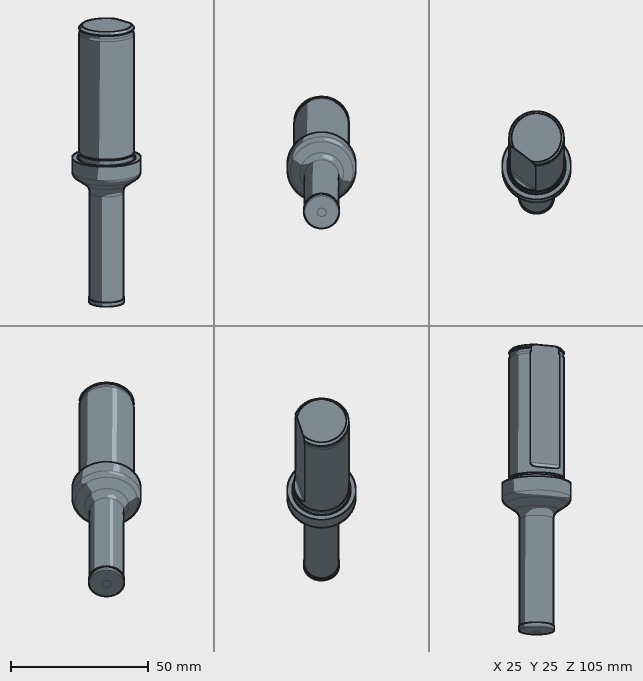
import cadquery as cq
import math


shank_length = 50.0
shank_radius = 10.0
neck_radius = 9.75
end_chamfer = 1.0

end_land_depth = 1.2
end_groove_start = 1.45
end_groove_ramp_start = 2.4
end_groove_depth = 3.3

foot_relief_height = 2.1
foot_relief_taper = 0.6
face_relief_radius = 10.7
face_relief_depth = 0.2
foot_fillet = 0.5

flat_offset = 8.1
flat_runout_radius = shank_radius - flat_offset
flat_runout_height = 5.9

collar_radius = 12.5
collar_height = 5.1
stem_radius = 6.225
collar_round = 2.75
stem_fillet = 4.0
cone_angle = math.radians(55)

tip_end = -55.0
tip_height = 2.0
tip_radius = 6.5
tip_corner = 0.4
tip_flat_diameter = 3.19
tip_cone_height = 0.3


def arc_point(centre_r, centre_z, radius, angle):
    """Point on a circle in the radius-height plane."""
    return (centre_r + radius * math.cos(angle), centre_z + radius * math.sin(angle))


def revolve_about_z(profile):
    """Turn a closed radius-height profile, drawn on XZ, around the Z axis."""
    return profile.close().revolve(360, (0, 0, 0), (0, 1, 0))


def make_clamping_flat():
    """Cutter for the flat, ending in a quarter-round runout above the collar."""
    runout_middle = arc_point(shank_radius, flat_runout_height, flat_runout_radius, math.radians(225))
    outer_edge = 2 * shank_radius
    return (
        cq.Workplane("YZ")
        .moveTo(flat_offset, shank_length)
        .lineTo(flat_offset, flat_runout_height)
        .threePointArc(runout_middle, (shank_radius, flat_runout_height - flat_runout_radius))
        .lineTo(outer_edge, flat_runout_height - flat_runout_radius)
        .lineTo(outer_edge, shank_length)
        .close()
        .extrude(shank_radius, both=True)
    )


def make_drill_body():
    """Shank, collar and stem as one turned solid with a flat on the shank."""
    foot_fillet_r = neck_radius + foot_fillet
    foot_fillet_z = foot_fillet - face_relief_depth
    foot_fillet_middle = arc_point(foot_fillet_r, foot_fillet_z, foot_fillet, math.radians(225))

    round_r = collar_radius - collar_round
    round_z = -collar_height
    fillet_r = stem_radius + stem_fillet
    cone_radial = collar_radius - stem_radius - (collar_round + stem_fillet) * (1 - math.cos(cone_angle))
    cone_height = cone_radial / math.tan(cone_angle)
    fillet_z = round_z - (collar_round + stem_fillet) * math.sin(cone_angle) - cone_height

    turned = revolve_about_z(
        cq.Workplane("XZ")
        .moveTo(0, shank_length)
        .lineTo(shank_radius - end_chamfer, shank_length)
        .lineTo(shank_radius, shank_length - end_chamfer)
        .lineTo(shank_radius, shank_length - end_land_depth)
        .lineTo(neck_radius, shank_length - end_groove_start)
        .lineTo(neck_radius, shank_length - end_groove_ramp_start)
        .lineTo(shank_radius, shank_length - end_groove_depth)
        .lineTo(shank_radius, foot_relief_height)
        .lineTo(neck_radius, foot_relief_height - foot_relief_taper)
        .lineTo(neck_radius, foot_fillet_z)
        .threePointArc(foot_fillet_middle, (foot_fillet_r, -face_relief_depth))
        .lineTo(face_relief_radius, 0)
        .lineTo(collar_radius, 0)
        .lineTo(collar_radius, round_z)
        .threePointArc(
            arc_point(round_r, round_z, collar_round, -cone_angle / 2),
            arc_point(round_r, round_z, collar_round, -cone_angle),
        )
        .lineTo(*arc_point(fillet_r, fillet_z, stem_fillet, math.pi - cone_angle))
        .threePointArc(
            arc_point(fillet_r, fillet_z, stem_fillet, math.pi - cone_angle / 2),
            (stem_radius, fillet_z),
        )
        .lineTo(stem_radius, tip_end + tip_height)
        .lineTo(0, tip_end + tip_height)
    )
    return turned.cut(make_clamping_flat())


def make_cutting_tip():
    """Disc slightly wider than the stem, with rounded corners and a blunt shallow point."""
    corner_r = tip_radius - tip_corner
    corner_z = tip_end + tip_cone_height + tip_corner
    return revolve_about_z(
        cq.Workplane("XZ")
        .moveTo(0, tip_end + tip_height)
        .lineTo(tip_radius, tip_end + tip_height)
        .lineTo(tip_radius, corner_z)
        .threePointArc(
            arc_point(corner_r, corner_z, tip_corner, math.radians(-45)),
            (corner_r, tip_end + tip_cone_height),
        )
        .lineTo(tip_flat_diameter / 2, tip_end)
        .lineTo(0, tip_end)
    )


drill_body = make_drill_body()
cutting_tip = make_cutting_tip()

result = cq.Compound.makeCompound([drill_body.val(), cutting_tip.val()])